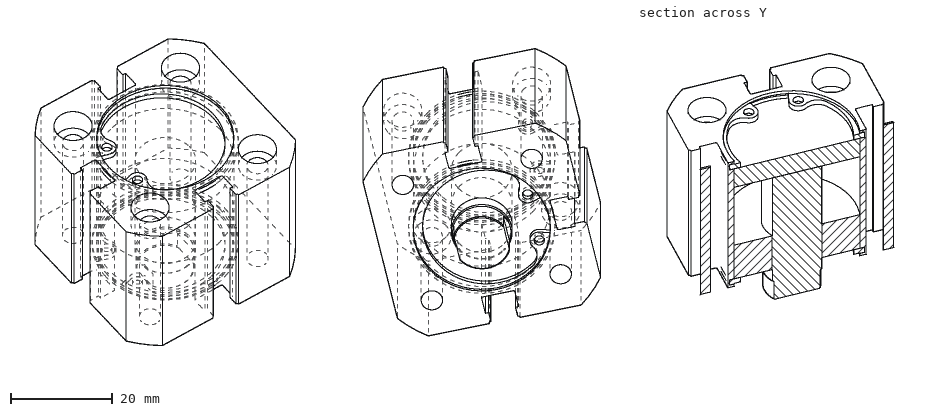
import cadquery as cq
import math

BODY_WIDTH = 41.0
BODY_HEIGHT = 33.0
CORNER_RADIUS = 25.65
BORE_RADIUS = 13.5

HOLE_SPACING = 26.0
HOLE_DIAMETER = 4.2
COUNTERBORE_DIAMETER = 7.5
COUNTERBORE_DEPTH = 5.0

SLOT_MOUTH_WIDTH = 5.4
SLOT_INNER_WIDTH = 6.7
SLOT_LIP_DEPTH = 2.4
SLOT_DEPTH = 6.0
SLOT_MOUTH_ROUND = 0.4
SLOT_FLOOR_ROUND = 0.3
SLOT_ANGLES = (-90, 0, 90)

RING_INSET = 0.75
RING_THICKNESS = 1.2
GROOVE_SKIN = 0.1
RING_RADIUS = BODY_WIDTH / 2 - SLOT_DEPTH - GROOVE_SKIN
RING_BOTTOMS = (RING_INSET, BODY_HEIGHT - RING_INSET - RING_THICKNESS)
RING_INNER_RADIUS = 12.5
RING_INNER_OFFSET = 0.88
LUG_RADIUS = 1.85
LUG_DISTANCE = 11.65
LUG_ANGLE = math.radians(26.4)
LUG_HOLE_DIAMETER = 2.0
LUG_BLEND_RADIUS = 3.0

COVER_INSET = RING_INSET + RING_THICKNESS
HEAD_COVER_THICKNESS = 5.0
ROD_COVER_THICKNESS = 9.0
HEAD_COVER_BOTTOM = BODY_HEIGHT - COVER_INSET - HEAD_COVER_THICKNESS

ROD_DIAMETER = 12.0
ROD_SHOULDER = 1.0
TIP_DIAMETER = 11.5
TIP_REACH = 6.0
TIP_CHAMFER = 0.2
FLAT_WIDTH = 10.0
FLAT_START = 2.05


def disc(radius, bottom, height):
    return cq.Workplane("XY").workplane(offset=bottom).circle(radius).extrude(height)


def make_slot():
    """T-slot cutter on the -Y side, running the full height."""
    outer_y = -BODY_WIDTH / 2
    lip_y = outer_y + SLOT_LIP_DEPTH
    floor_y = outer_y + SLOT_DEPTH
    mouth = SLOT_MOUTH_WIDTH / 2
    inner = SLOT_INNER_WIDTH / 2
    flare = mouth + SLOT_MOUTH_ROUND

    channel = (
        cq.Workplane("XY")
        .moveTo(-inner, lip_y)
        .lineTo(inner, lip_y)
        .lineTo(inner, floor_y)
        .lineTo(-inner, floor_y)
        .close()
        .extrude(BODY_HEIGHT)
        .edges("|Z and >Y")
        .fillet(SLOT_FLOOR_ROUND)
    )
    opening = (
        cq.Workplane("XY")
        .moveTo(-flare, outer_y)
        .lineTo(flare, outer_y)
        .radiusArc((mouth, outer_y + SLOT_MOUTH_ROUND), -SLOT_MOUTH_ROUND)
        .lineTo(mouth, lip_y)
        .lineTo(-mouth, lip_y)
        .lineTo(-mouth, outer_y + SLOT_MOUTH_ROUND)
        .radiusArc((-flare, outer_y), -SLOT_MOUTH_ROUND)
        .close()
        .extrude(BODY_HEIGHT)
    )
    return channel.union(opening)


def make_housing():
    block = cq.Workplane("XY").rect(BODY_WIDTH, BODY_WIDTH).extrude(BODY_HEIGHT)
    block = block.intersect(disc(CORNER_RADIUS, 0, BODY_HEIGHT))
    block = block.cut(disc(BORE_RADIUS, 0, BODY_HEIGHT))

    for groove_bottom in RING_BOTTOMS:
        block = block.cut(disc(RING_RADIUS, groove_bottom, RING_THICKNESS))

    slot = make_slot()
    for angle in SLOT_ANGLES:
        block = block.cut(slot.rotate((0, 0, 0), (0, 0, 1), angle))

    return (
        block.faces(">Z")
        .workplane(origin=(0, 0, BODY_HEIGHT))
        .rect(HOLE_SPACING, HOLE_SPACING, forConstruction=True)
        .vertices()
        .cboreHole(HOLE_DIAMETER, COUNTERBORE_DIAMETER, COUNTERBORE_DEPTH)
    )


def toward(start, end, distance):
    """Point at a distance from start, in the direction of end."""
    length = math.dist(start, end)
    return tuple(a + (b - a) * distance / length for a, b in zip(start, end))


def mirrored(point):
    return (-point[0], point[1])


def make_ring(bottom):
    """Internal retaining ring: eccentric inside edge, open at -Y between two lugs."""
    inner_center = (0, -RING_INNER_OFFSET)
    lug_center = (LUG_DISTANCE * math.sin(LUG_ANGLE), -LUG_DISTANCE * math.cos(LUG_ANGLE))

    to_blend = RING_INNER_RADIUS - LUG_BLEND_RADIUS
    lug_to_blend = LUG_RADIUS + LUG_BLEND_RADIUS
    to_lug = math.dist(inner_center, lug_center)
    opening = math.acos((to_blend**2 + to_lug**2 - lug_to_blend**2) / (2 * to_blend * to_lug))
    heading = math.atan2(lug_center[1] - inner_center[1], lug_center[0]) + opening
    blend_center = (
        inner_center[0] + to_blend * math.cos(heading),
        inner_center[1] + to_blend * math.sin(heading),
    )
    inner_end = toward(inner_center, blend_center, RING_INNER_RADIUS)
    lug_start = toward(lug_center, blend_center, LUG_RADIUS)

    gap_angle = LUG_ANGLE - math.asin(LUG_RADIUS / LUG_DISTANCE)
    gap_direction = (math.sin(gap_angle), -math.cos(gap_angle))
    tangent_length = math.sqrt(LUG_DISTANCE**2 - LUG_RADIUS**2)
    lug_end = tuple(tangent_length * part for part in gap_direction)
    outer_end = tuple(RING_RADIUS * part for part in gap_direction)

    inner_top = (0, RING_INNER_RADIUS - RING_INNER_OFFSET)
    profile_plane = cq.Workplane("XY").workplane(offset=bottom)
    ring = (
        profile_plane.moveTo(*outer_end)
        .threePointArc((0, RING_RADIUS), mirrored(outer_end))
        .lineTo(*mirrored(lug_end))
        .radiusArc(mirrored(lug_start), -LUG_RADIUS)
        .radiusArc(mirrored(inner_end), LUG_BLEND_RADIUS)
        .threePointArc(inner_top, inner_end)
        .radiusArc(lug_start, LUG_BLEND_RADIUS)
        .radiusArc(lug_end, -LUG_RADIUS)
        .close()
        .extrude(RING_THICKNESS)
    )
    lug_holes = (
        profile_plane.pushPoints([lug_center, mirrored(lug_center)])
        .circle(LUG_HOLE_DIAMETER / 2)
        .extrude(RING_THICKNESS)
    )
    return ring.cut(lug_holes)


def make_head_cover():
    return disc(BORE_RADIUS, HEAD_COVER_BOTTOM, HEAD_COVER_THICKNESS)


def make_rod_cover():
    cover = disc(BORE_RADIUS, COVER_INSET, ROD_COVER_THICKNESS)
    return cover.cut(disc(ROD_DIAMETER / 2, COVER_INSET, ROD_COVER_THICKNESS))


def make_flat_cutter():
    """Cutter for the flat on the -Y side of the tip, with a 45 degree run-out at its top."""
    flat_y = -FLAT_WIDTH / 2
    clear_y = -ROD_DIAMETER / 2
    run_out = flat_y - clear_y
    return (
        cq.Workplane("YZ")
        .moveTo(flat_y, -TIP_REACH)
        .lineTo(flat_y, -FLAT_START)
        .lineTo(clear_y, run_out - FLAT_START)
        .lineTo(clear_y, -TIP_REACH)
        .close()
        .extrude(ROD_DIAMETER / 2, both=True)
    )


def make_rod():
    """Rod reaching from the head cover out through the rod cover."""
    shoulder_chamfer = (ROD_DIAMETER - TIP_DIAMETER) / 2
    shank_bottom = -ROD_SHOULDER - shoulder_chamfer
    shank = disc(ROD_DIAMETER / 2, shank_bottom, HEAD_COVER_BOTTOM - shank_bottom)
    shank = shank.faces("<Z").chamfer(shoulder_chamfer)
    tip = disc(TIP_DIAMETER / 2, -TIP_REACH, TIP_REACH).faces("<Z").chamfer(TIP_CHAMFER)
    rod = shank.union(tip)
    flat_cutter = make_flat_cutter()
    return rod.cut(flat_cutter).cut(flat_cutter.mirror("XZ"))


housing = make_housing()
head_cover = make_head_cover()
rod_cover = make_rod_cover()
rod = make_rod()
rings = [make_ring(bottom) for bottom in RING_BOTTOMS]

result = cq.Compound.makeCompound([
    housing.val(),
    head_cover.val(),
    rod_cover.val(),
    rod.val(),
    *[ring.val() for ring in rings],
])